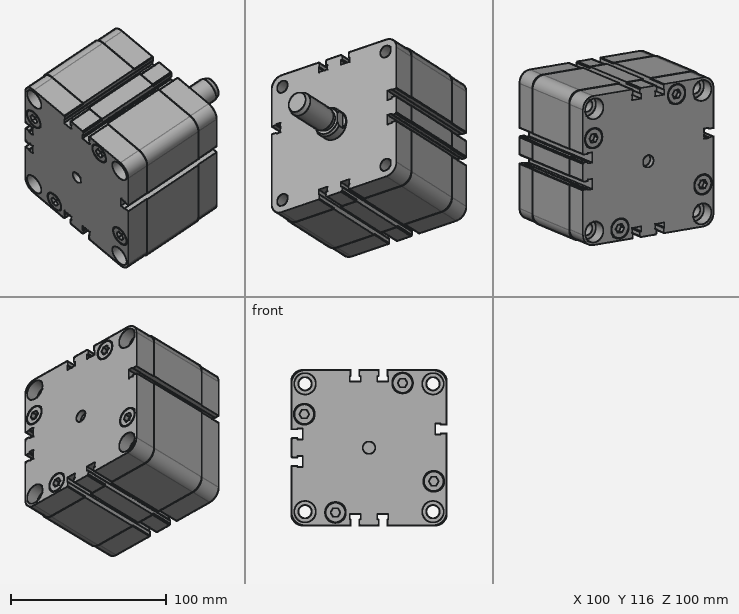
import cadquery as cq
import math

BODY_SIDE = 100.0
CAP_SIDE = 99.2
CAP_LENGTH = 16.0
BODY_LENGTH = 44.0
CORNER_RADIUS = 8.0
HOUSING_LENGTH = BODY_LENGTH + 2 * CAP_LENGTH

SLOT_FLOOR = 42.5
SLOT_STEP = 45.7
STEP_SLOPE = 0.4
RIB_HALF_FOOT = 5.4
RIB_HALF_WIDTH = 6.4
SLOT_NECK_OUTER = 11.7
SLOT_FLOOR_OUTER = 12.2
RIB_CHAMFER = 0.8
OUTER_LIP_CHAMFER = 0.4
SINGLE_SLOT_CENTRE = 12.0
SINGLE_SLOT_NECK = 5.6
SINGLE_SLOT_FLOOR_WIDTH = 6.8
SLOT_CUT_REACH = 55.0

TOP_ANGLE = 0
BOTTOM_ANGLE = 180
LEFT_ANGLE = 270

MOUNT_OFFSET = 41.0
MOUNT_HOLE_DIAMETER = 8.38
MOUNT_BORE_DIAMETER = 13.8
MOUNT_BORE_DEPTH = 9.0

SCREW_NEAR_OFFSET = 21.5
SCREW_FAR_OFFSET = 41.5
SCREW_BORE_DIAMETER = 13.5
SCREW_HEAD_DIAMETER = 12.5
SCREW_GAP_DEPTH = 8.0
SOCKET_ACROSS_FLATS = 5.5
SOCKET_DEPTH = 3.5

CENTRE_HOLE_DIAMETER = 8.0
CENTRE_HOLE_DEPTH = 4.0

ROD_LENGTH = 40.0
COLLAR_DIAMETER = 20.0
COLLAR_LENGTH = 8.0
COLLAR_CHAMFER_LENGTH = 1.8
COLLAR_CHAMFER_HEIGHT = 1.0
NECK_DIAMETER = 13.5
THREAD_DIAMETER = 16.0
THREAD_START = 11.5
THREAD_START_CHAMFER = 0.4
TIP_DIAMETER = 13.5
TIP_CHAMFER_LENGTH = 3.4
FLAT_ACROSS = 17.0
FLAT_START = 2.0
FLAT_RAMP_LENGTH = 1.2


def rounded_block(side, start, length):
    """Square block with rounded corners running along +Y from start."""
    block = cq.Workplane("XY").box(side, length, side).edges("|Y").fillet(CORNER_RADIUS)
    return block.translate((0, start + length / 2, 0))


def rear_cylinder(x, z, diameter, depth):
    """Cylinder running into the housing from the rear face."""
    return cq.Workplane("XZ").center(x, z).circle(diameter / 2).extrude(-depth)


def make_housing():
    caps_core = rounded_block(CAP_SIDE, 0, HOUSING_LENGTH)
    return caps_core.union(rounded_block(BODY_SIDE, CAP_LENGTH, BODY_LENGTH))


def slot_cutter(points):
    """Full-length slot with the given outline in the XZ plane."""
    return cq.Workplane("XZ").polyline(points).close().extrude(-HOUSING_LENGTH)


def paired_slots():
    """Two mirrored slots in the top face, one on each side of the central rib."""
    slot = slot_cutter([
        (RIB_HALF_FOOT, SLOT_FLOOR),
        (SLOT_FLOOR_OUTER, SLOT_FLOOR),
        (SLOT_FLOOR_OUTER, SLOT_STEP),
        (SLOT_NECK_OUTER, SLOT_STEP + STEP_SLOPE),
        (SLOT_NECK_OUTER, SLOT_CUT_REACH),
        (RIB_HALF_WIDTH, SLOT_CUT_REACH),
        (RIB_HALF_WIDTH, SLOT_STEP + STEP_SLOPE),
        (RIB_HALF_FOOT, SLOT_STEP),
    ])
    return slot.union(slot.mirror("YZ"))


def lip_chamfers(side, start, length):
    """Cutter that bevels all four lips of the paired slots on one stretch of the top face."""
    face = side / 2
    bevels = cq.Workplane("XZ")
    for edge, outward, size in (
        (RIB_HALF_WIDTH, -1, RIB_CHAMFER),
        (SLOT_NECK_OUTER, 1, OUTER_LIP_CHAMFER),
    ):
        outline = [(edge, face - size), (edge, face), (edge + outward * size, face)]
        wedge = cq.Workplane("XZ").polyline(outline).close().extrude(-length)
        bevels = bevels.add(wedge).add(wedge.mirror("YZ"))
    return bevels.combine().translate((0, start, 0))


def single_slot():
    """One symmetric slot in the +X face, above the middle."""
    half_floor = SINGLE_SLOT_FLOOR_WIDTH / 2
    half_neck = SINGLE_SLOT_NECK / 2
    return slot_cutter([
        (SLOT_FLOOR, SINGLE_SLOT_CENTRE - half_floor),
        (SLOT_STEP, SINGLE_SLOT_CENTRE - half_floor),
        (SLOT_STEP + STEP_SLOPE, SINGLE_SLOT_CENTRE - half_neck),
        (SLOT_CUT_REACH, SINGLE_SLOT_CENTRE - half_neck),
        (SLOT_CUT_REACH, SINGLE_SLOT_CENTRE + half_neck),
        (SLOT_STEP + STEP_SLOPE, SINGLE_SLOT_CENTRE + half_neck),
        (SLOT_STEP, SINGLE_SLOT_CENTRE + half_floor),
        (SLOT_FLOOR, SINGLE_SLOT_CENTRE + half_floor),
    ])


def cut_slots(body):
    """Slot pairs on three faces; only the -X pair is bevelled along the body as well as the caps."""
    rear_cap_lips = lip_chamfers(CAP_SIDE, 0, CAP_LENGTH)
    front_cap_lips = lip_chamfers(CAP_SIDE, CAP_LENGTH + BODY_LENGTH, CAP_LENGTH)
    body_lips = lip_chamfers(BODY_SIDE, CAP_LENGTH, BODY_LENGTH)
    for angle in (TOP_ANGLE, BOTTOM_ANGLE, LEFT_ANGLE):
        cutters = [paired_slots(), rear_cap_lips, front_cap_lips]
        if angle == LEFT_ANGLE:
            cutters.append(body_lips)
        for cutter in cutters:
            body = body.cut(cutter.rotate((0, 0, 0), (0, 1, 0), angle))
    return body.cut(single_slot())


def cut_mounting_holes(body):
    for x in (-MOUNT_OFFSET, MOUNT_OFFSET):
        for z in (-MOUNT_OFFSET, MOUNT_OFFSET):
            body = body.cut(rear_cylinder(x, z, MOUNT_HOLE_DIAMETER, HOUSING_LENGTH))
            body = body.cut(rear_cylinder(x, z, MOUNT_BORE_DIAMETER, MOUNT_BORE_DEPTH))
    return body


def cut_cap_screws(body):
    socket_diameter = SOCKET_ACROSS_FLATS / math.cos(math.pi / 6)
    positions = (
        (SCREW_NEAR_OFFSET, SCREW_FAR_OFFSET),
        (SCREW_FAR_OFFSET, -SCREW_NEAR_OFFSET),
        (-SCREW_NEAR_OFFSET, -SCREW_FAR_OFFSET),
        (-SCREW_FAR_OFFSET, SCREW_NEAR_OFFSET),
    )
    for x, z in positions:
        gap = rear_cylinder(x, z, SCREW_BORE_DIAMETER, SCREW_GAP_DEPTH)
        gap = gap.cut(rear_cylinder(x, z, SCREW_HEAD_DIAMETER, SCREW_GAP_DEPTH))
        socket = cq.Workplane("XZ").center(x, z).polygon(6, socket_diameter).extrude(-SOCKET_DEPTH)
        body = body.cut(gap).cut(socket)
    return body


def make_rod():
    """Turned rod about the Y axis, then two wrench flats facing -X and +X."""
    collar_radius = COLLAR_DIAMETER / 2
    neck_radius = NECK_DIAMETER / 2
    thread_radius = THREAD_DIAMETER / 2
    rod = (
        cq.Workplane("XY")
        .moveTo(0, 0)
        .lineTo(collar_radius, 0)
        .lineTo(collar_radius, COLLAR_LENGTH - COLLAR_CHAMFER_LENGTH)
        .lineTo(collar_radius - COLLAR_CHAMFER_HEIGHT, COLLAR_LENGTH)
        .lineTo(neck_radius, COLLAR_LENGTH)
        .lineTo(neck_radius, THREAD_START - THREAD_START_CHAMFER)
        .lineTo(thread_radius, THREAD_START)
        .lineTo(thread_radius, ROD_LENGTH - TIP_CHAMFER_LENGTH)
        .lineTo(TIP_DIAMETER / 2, ROD_LENGTH)
        .lineTo(0, ROD_LENGTH)
        .close()
        .revolve(360, (0, 0, 0), (0, 1, 0))
    )
    flat = (
        cq.Workplane("XY")
        .moveTo(FLAT_ACROSS / 2, FLAT_START)
        .lineTo(collar_radius, FLAT_START - FLAT_RAMP_LENGTH)
        .lineTo(collar_radius, COLLAR_LENGTH)
        .lineTo(FLAT_ACROSS / 2, COLLAR_LENGTH)
        .close()
        .extrude(collar_radius, both=True)
    )
    rod = rod.cut(flat).cut(flat.mirror("YZ"))
    return rod.translate((0, HOUSING_LENGTH, 0))


housing = cut_cap_screws(cut_mounting_holes(cut_slots(make_housing())))
housing = housing.cut(rear_cylinder(0, 0, CENTRE_HOLE_DIAMETER, CENTRE_HOLE_DEPTH))
result = housing.union(make_rod())